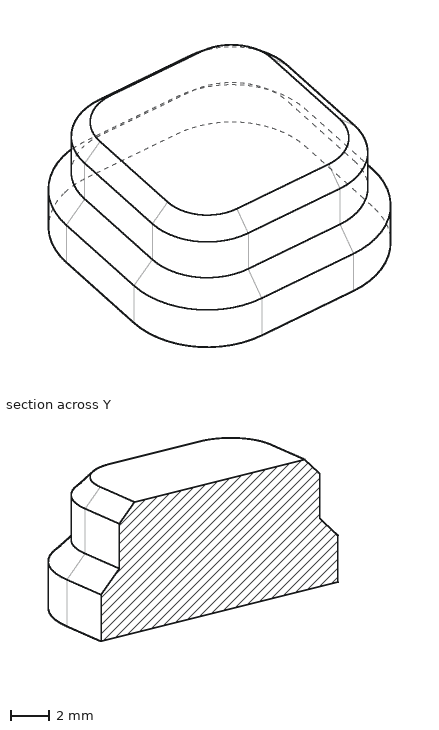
import cadquery as cq

base_width = 15.6
corner_radius = 4.8
total_height = 7.3
base_wall_height = 2.6
base_chamfer = 1.2
top_wall_height = 2.5
top_chamfer = total_height - base_wall_height - base_chamfer - top_wall_height

base_height = base_wall_height + base_chamfer
top_height = top_wall_height + top_chamfer
top_width = base_width - 2 * base_chamfer
top_corner_radius = corner_radius - base_chamfer


def rounded_tier(width, radius, height, chamfer, bottom_z):
    """Square block with rounded vertical corners and a 45 degree chamfer around its top."""
    return (
        cq.Workplane("XY")
        .workplane(offset=bottom_z)
        .rect(width, width)
        .extrude(height)
        .edges("|Z")
        .fillet(radius)
        .faces(">Z")
        .edges()
        .chamfer(chamfer)
    )


base = rounded_tier(base_width, corner_radius, base_height, base_chamfer, 0)
top = rounded_tier(top_width, top_corner_radius, top_height, top_chamfer, base_height)

result = base.union(top)